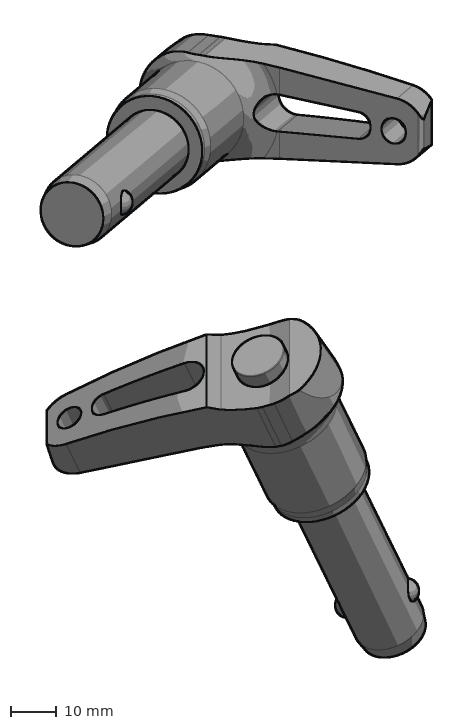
import cadquery as cq
import math


shank_radius = 8.0
tip_radius = 7.4
tip_taper_length = 3.3
ball_radius = 2.8
ball_reach = 9.6
ball_y = 11.3

barrel_start = 49.0
barrel_radius = 11.8
collar_radius = 11.2
collar_length = 1.5
collar_taper_length = 2.2
flare_start = 72.2
flare_radius = 6.0
flare_end = flare_start + flare_radius
flare_outer_radius = barrel_radius + flare_radius

button_radius = 6.0
button_top = 91.2
button_edge_round = 0.2

heel_width = 24.7
heel_radius = heel_width / 2
heel_left = -15.0
heel_flat_end = 0.2
heel_center_x = heel_left + heel_radius
tip_end_radius = 7.7
tip_center_x = 45.2
lever_hole_radius = 2.9
slot_inner_radius = 4.3
slot_inner_x = 17.1
slot_outer_radius = 3.1
slot_outer_x = 36.6

heel_top = 88.5
lever_end_x = 52.3
lever_end_bottom = 76.2
end_top_x = 50.9
end_top_y = 85.1
end_corner_round = 0.9
dip_start_x = -6.4
dip_middle = (1.8, 87.6)
dip_end = (9.3, 88.9)
crest = (12.1, 90.4)
back_middle = (33.65, 88.4)

heel_face_radius = 14.2
heel_face_bottom = 77.3
heel_face_lean = 1.5
heel_face_angle = math.degrees(math.atan2(heel_face_lean, heel_top - heel_face_bottom))

margin = 18.2


def hull(first_x, first_radius, second_x, second_radius):
    """Two circles on the X axis joined by their outer tangents, extruded along Y past the part."""
    cos_tangent = (first_radius - second_radius) / (second_x - first_x)
    sin_tangent = math.sqrt(1 - cos_tangent**2)
    first = (first_x + first_radius * cos_tangent, first_radius * sin_tangent)
    second = (second_x + second_radius * cos_tangent, second_radius * sin_tangent)
    return (
        cq.Workplane("XZ")
        .moveTo(*first)
        .lineTo(*second)
        .threePointArc((second_x + second_radius, 0), (second[0], -second[1]))
        .lineTo(first[0], -first[1])
        .threePointArc((first_x - first_radius, 0), first)
        .close()
        .extrude(-(button_top + margin))
    )


def make_pin():
    """Shank, collar, barrel and flare as one body turned about Y."""
    flare_mid_offset = flare_radius * math.sqrt(0.5)
    return (
        cq.Workplane("XY")
        .lineTo(tip_radius, 0)
        .lineTo(shank_radius, tip_taper_length)
        .lineTo(shank_radius, barrel_start)
        .lineTo(collar_radius, barrel_start)
        .lineTo(collar_radius, barrel_start + collar_length)
        .lineTo(barrel_radius, barrel_start + collar_length + collar_taper_length)
        .lineTo(barrel_radius, flare_start)
        .threePointArc(
            (flare_outer_radius - flare_mid_offset, flare_start + flare_mid_offset),
            (flare_outer_radius, flare_end),
        )
        .lineTo(0, flare_end)
        .close()
        .revolve(360, (0, 0, 0), (0, 1, 0))
    )


def make_lever_plate():
    """Side profile of the lever, wider in Z than the finished lever."""
    plate = (
        cq.Workplane("XY")
        .moveTo(heel_left - margin, flare_end)
        .lineTo(flare_outer_radius, flare_end)
        .lineTo(lever_end_x, lever_end_bottom)
        .lineTo(end_top_x, end_top_y)
        .threePointArc(back_middle, crest)
        .lineTo(*dip_end)
        .threePointArc(dip_middle, (dip_start_x, heel_top))
        .lineTo(heel_left - margin, heel_top)
        .close()
        .extrude(margin, both=True)
    )
    corner = cq.selectors.NearestToPointSelector((lever_end_x, lever_end_bottom, 0))
    return plate.edges("|Z").edges(corner).fillet(end_corner_round)


def make_outline():
    """Lever outline along the pin axis, with a round heel trimmed by the leaning face."""
    heel = hull(heel_center_x, heel_radius, heel_flat_end, heel_radius)
    arm = hull(heel_flat_end, heel_radius, tip_center_x, tip_end_radius)
    face_length = button_top + margin
    leaning_face = (
        cq.Workplane("XZ")
        .circle(heel_face_radius)
        .extrude(face_length, both=True)
        .rotate((0, 0, 0), (0, 0, 1), -heel_face_angle)
        .translate((heel_left + heel_face_radius, heel_face_bottom, 0))
    )
    below_face = cq.Workplane("XY").box(4 * margin, heel_face_bottom, 4 * margin, centered=(True, False, True))
    return heel.intersect(leaning_face.union(below_face)).union(arm)


def make_balls():
    """Detent balls on opposite sides of the shank."""
    center_x = ball_reach - ball_radius
    return cq.Workplane("XY").pushPoints([(-center_x, ball_y), (center_x, ball_y)]).sphere(ball_radius)


def make_button():
    """Push button standing on the pin axis."""
    return (
        cq.Workplane("XZ", origin=(0, button_top, 0))
        .circle(button_radius)
        .extrude(button_top - flare_start)
        .faces(">Y")
        .edges()
        .fillet(button_edge_round)
    )


slot = hull(slot_inner_x, slot_inner_radius, slot_outer_x, slot_outer_radius)
lever_hole = cq.Workplane("XZ").center(tip_center_x, 0).circle(lever_hole_radius).extrude(-(button_top + margin))

body = make_pin().union(make_lever_plate()).intersect(make_outline())
result = body.cut(slot).cut(lever_hole).union(make_balls()).union(make_button())